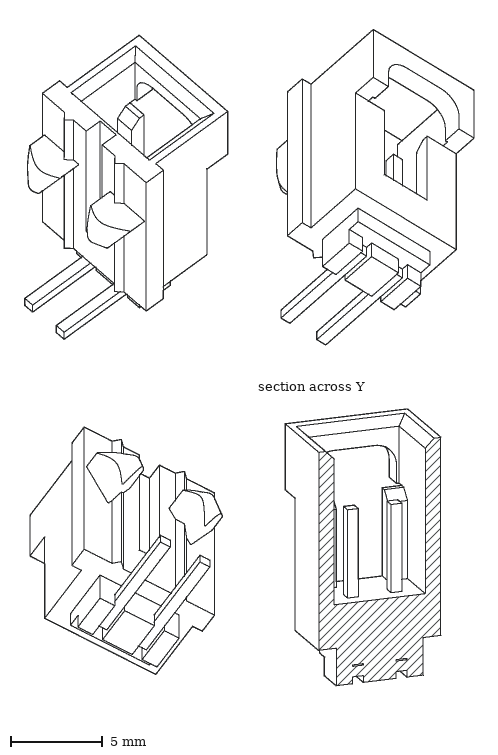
import math
import cadquery as cq


HOUSING_WIDTH = 7.14
HOUSING_HEIGHT = 11.43
HOUSING_BACK_UPPER = 6.604
HOUSING_BACK_LOWER = 5.08
OVERHANG_HEIGHT = 3.81
OVERHANG_BOTTOM = HOUSING_HEIGHT - OVERHANG_HEIGHT
PLATE_WIDTH = 8.38
PLATE_THICKNESS = 1.28

KEYWAY_WIDTH = 1.29
KEYWAY_DEPTH = 1.03
KEYWAY_LENGTH = 8.89
KEYWAY_BOTTOM = HOUSING_HEIGHT - KEYWAY_LENGTH
RIDGE_OFFSET = 2.03
RIDGE_HEIGHT = 0.365

CAVITY_WIDTH = 5.28
CAVITY_FRONT = 1.19
CAVITY_BACK = 5.44
CAVITY_FLOOR = KEYWAY_BOTTOM
FUNNEL_SIZE = 0.52
WINDOW_WIDTH = 4.98
WINDOW_RADIUS = 1.27
WINDOW_TOP = HOUSING_HEIGHT - 1.47
POST_GAP = 3.02
POST_FRONT = 4.15
POST_CHAMFER = 0.58

PEG_OFFSET = 2.65
PEG_TOP = HOUSING_HEIGHT - 3.54
PEG_TRIANGLE_HEIGHT = 2.46
PEG_CORNER_RADIUS = 0.05
PEG_LENGTH = 2.52
NOSE_OFFSET = 2.385
NOSE_DROP = 1.01
NOSE_TIP_RADIUS = 0.50
NOSE_SLOPE = math.radians(40)
NOSE_REACH = 4.0

BASE_WIDTH = 5.08
BASE_FRONT = 1.016
BASE_BACK = 4.064
LEG_BACK = 3.302
BASE_DEPTH = 2.16
LEDGE_DEPTH = 1.08

PIN_SIZE = 0.635
PIN_PITCH = 2.54
PIN_BACK = 2.87
PIN_FRONT = HOUSING_BACK_UPPER - 10.29
PIN_TAIL_BOTTOM = -1.77
PIN_TOP = OVERHANG_BOTTOM


def box(x_min, x_max, y_min, y_max, z_min, z_max):
    """Box between two opposite corners."""
    size = (x_max - x_min, y_max - y_min, z_max - z_min)
    return cq.Workplane("XY").box(*size, centered=False).translate((x_min, y_min, z_min))


def centred_box(width, y_min, y_max, z_min, z_max, x_mid=0):
    """Box of the given X width centred on x_mid."""
    return box(x_mid - width / 2, x_mid + width / 2, y_min, y_max, z_min, z_max)


def both_sides(right_half):
    """A feature on the +X side together with its mirror image."""
    return right_half.union(right_half.mirror("YZ"))


def make_shell():
    """Outer housing with the back overhang, front plate, ridges and keyway."""
    shell = centred_box(HOUSING_WIDTH, 0, HOUSING_BACK_LOWER, 0, HOUSING_HEIGHT)
    overhang = centred_box(HOUSING_WIDTH, 0, HOUSING_BACK_UPPER, OVERHANG_BOTTOM, HOUSING_HEIGHT)
    plate = centred_box(PLATE_WIDTH, 0, PLATE_THICKNESS, 0, HOUSING_HEIGHT)
    ridge = (
        cq.Workplane("XY")
        .moveTo(RIDGE_OFFSET - RIDGE_HEIGHT, 0)
        .lineTo(RIDGE_OFFSET, -RIDGE_HEIGHT)
        .lineTo(RIDGE_OFFSET + RIDGE_HEIGHT, 0)
        .close()
        .extrude(HOUSING_HEIGHT)
    )
    keyway = centred_box(KEYWAY_WIDTH, 0, KEYWAY_DEPTH, KEYWAY_BOTTOM, HOUSING_HEIGHT)
    return shell.union(overhang).union(plate).union(both_sides(ridge)).cut(keyway)


def make_funnel():
    """Tapered lead-in around the sides and back of the cavity mouth."""
    half = CAVITY_WIDTH / 2
    lower = HOUSING_HEIGHT - FUNNEL_SIZE
    side_taper = (
        cq.Workplane("XZ", origin=(0, CAVITY_FRONT, 0))
        .moveTo(-half, lower)
        .lineTo(half, lower)
        .lineTo(half + FUNNEL_SIZE, HOUSING_HEIGHT)
        .lineTo(-half - FUNNEL_SIZE, HOUSING_HEIGHT)
        .close()
        .extrude(CAVITY_FRONT - CAVITY_BACK - FUNNEL_SIZE)
    )
    back_taper = (
        cq.Workplane("YZ")
        .moveTo(CAVITY_FRONT, lower)
        .lineTo(CAVITY_BACK, lower)
        .lineTo(CAVITY_BACK + FUNNEL_SIZE, HOUSING_HEIGHT)
        .lineTo(CAVITY_FRONT, HOUSING_HEIGHT)
        .close()
        .extrude(half + FUNNEL_SIZE, both=True)
    )
    return side_taper.intersect(back_taper)


def make_window():
    """Opening through the overhang's back wall, with round upper corners."""
    return (
        centred_box(WINDOW_WIDTH, CAVITY_FRONT, HOUSING_BACK_UPPER, CAVITY_FLOOR, WINDOW_TOP)
        .edges("|Y and >Z")
        .fillet(WINDOW_RADIUS)
    )


def make_posts():
    """Two posts closing the back corners of the cavity, bevelled at the top front."""
    post = box(POST_GAP / 2, CAVITY_WIDTH / 2, POST_FRONT, HOUSING_BACK_LOWER, CAVITY_FLOOR, OVERHANG_BOTTOM)
    return both_sides(post.edges("|X and >Z and <Y").chamfer(POST_CHAMFER))


def make_base():
    """Stepped block under the housing, with a slot for each pin tail."""
    base = centred_box(BASE_WIDTH, BASE_FRONT, BASE_BACK, -LEDGE_DEPTH, 0)
    leg = centred_box(BASE_WIDTH, BASE_FRONT, LEG_BACK, -BASE_DEPTH, 0)
    slot = centred_box(PIN_SIZE, BASE_FRONT, LEG_BACK, -BASE_DEPTH, -LEDGE_DEPTH, PIN_PITCH / 2)
    return base.union(leg).cut(both_sides(slot))


def make_pins():
    """Pins standing in the cavity and leaving the base toward the front."""
    x_mid = PIN_PITCH / 2
    upright = centred_box(PIN_SIZE, PIN_BACK - PIN_SIZE, PIN_BACK, PIN_TAIL_BOTTOM, PIN_TOP, x_mid)
    tail_top = PIN_TAIL_BOTTOM + PIN_SIZE
    tail = centred_box(PIN_SIZE, PIN_FRONT, PIN_BACK, PIN_TAIL_BOTTOM, tail_top, x_mid)
    return both_sides(upright.union(tail))


def make_pegs():
    """Triangular pegs on the front plate, each trimmed by an off-centre cone."""
    half_side = PEG_TRIANGLE_HEIGHT / math.sqrt(3)
    prism = (
        cq.Workplane("XZ")
        .moveTo(PEG_OFFSET - half_side, PEG_TOP)
        .lineTo(PEG_OFFSET + half_side, PEG_TOP)
        .lineTo(PEG_OFFSET, PEG_TOP - PEG_TRIANGLE_HEIGHT)
        .close()
        .extrude(PEG_LENGTH)
        .edges("|Y")
        .fillet(PEG_CORNER_RADIUS)
    )
    tip_centre = -PEG_LENGTH + NOSE_TIP_RADIUS
    half_angle = NOSE_SLOPE / 2
    mid_point = (NOSE_TIP_RADIUS * math.sin(half_angle), tip_centre - NOSE_TIP_RADIUS * math.cos(half_angle))
    rim_radius = NOSE_TIP_RADIUS * math.sin(NOSE_SLOPE)
    rim_y = tip_centre - NOSE_TIP_RADIUS * math.cos(NOSE_SLOPE)
    cone_end_y = rim_y + (NOSE_REACH - rim_radius) * math.tan(NOSE_SLOPE)
    nose = (
        cq.Workplane("XY")
        .moveTo(0, -PEG_LENGTH)
        .threePointArc(mid_point, (rim_radius, rim_y))
        .lineTo(NOSE_REACH, cone_end_y)
        .lineTo(0, cone_end_y)
        .close()
        .revolve(360, (0, 0), (0, 1))
        .translate((NOSE_OFFSET, 0, PEG_TOP - NOSE_DROP))
    )
    return both_sides(prism.intersect(nose))


cavity = centred_box(CAVITY_WIDTH, CAVITY_FRONT, CAVITY_BACK, CAVITY_FLOOR, HOUSING_HEIGHT)
housing = make_shell().cut(cavity).cut(make_funnel()).cut(make_window()).union(make_posts())
result = housing.union(make_base()).union(make_pins()).union(make_pegs())